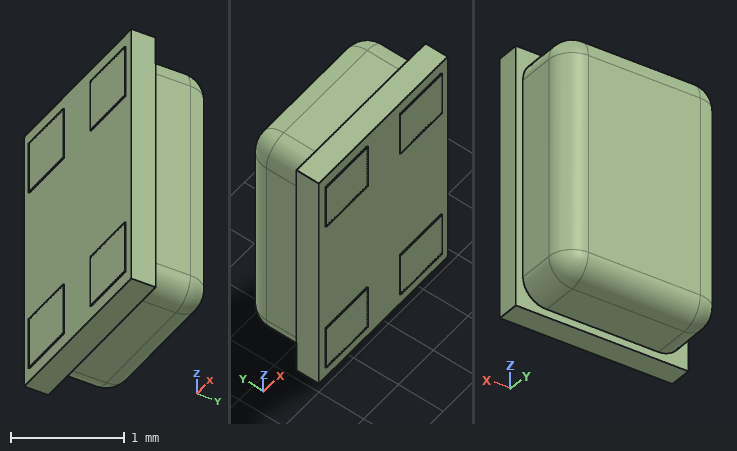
import cadquery as cq

board_width = 1.85
board_height = 2.75
board_thickness = 0.25

lid_width = 1.7
lid_height = 2.585
lid_depth = 0.65
lid_radius = 0.25

pad_width = 0.6
pad_height = 0.535
pad_thickness = 0.01
pad_side_margin = 0.094
pad_end_margin = 0.14

pad_x = board_width / 2 - pad_side_margin - pad_width / 2
pad_z = board_height / 2 - pad_end_margin - pad_height / 2


def make_plate(width, thickness, height):
    """Block centred on X and Z that rises from Y = 0 toward +Y."""
    return cq.Workplane("XY").box(width, thickness, height, centered=(True, False, True))


def make_board():
    return make_plate(board_width, board_thickness, board_height)


def make_lid():
    """Block with rounded corners and a rounded outer rim, flat against the board."""
    block = make_plate(lid_width, lid_depth, lid_height)
    rounded = block.edges("|Y or >Y").fillet(lid_radius)
    return rounded.translate((0, board_thickness, 0))


def make_pad(x, z):
    return make_plate(pad_width, pad_thickness, pad_height).translate((x, -pad_thickness, z))


board = make_board()
lid = make_lid()
pads = [make_pad(x, z) for x in (-pad_x, pad_x) for z in (-pad_z, pad_z)]

result = cq.Compound.makeCompound([board.val(), lid.val(), *[pad.val() for pad in pads]])